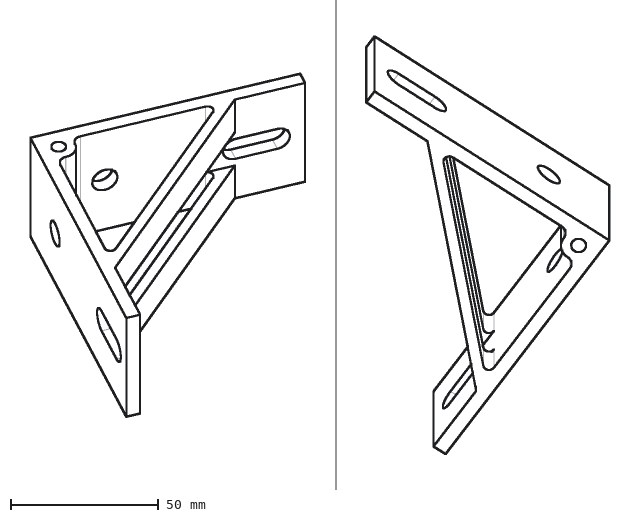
import cadquery as cq
import math

leg_length = 97.0
height = 45.0
wall = 5.0

brace_reach = 71.7
brace_thickness = 4.0
brace_height = height / 3
brace_end_radius = 2.0

boss_reach = 13.2
boss_corner_radius = 5.0
boss_root_radius = 3.0
boss_hole_diameter = 5.0
boss_hole_position = 7.5

mount_width = 9.0
mount_hole_position = 25.0
slot_start = 67.5
slot_end = 91.5


def make_legs():
    """Two plates meeting at a right angle along the Z axis."""
    leg_x = cq.Workplane("XY").box(leg_length, wall, height, centered=False)
    leg_y = cq.Workplane("XY").box(wall, leg_length, height, centered=False)
    return leg_x.union(leg_y)


def make_corner_boss():
    """Full-height boss in the inner corner, blended into both legs."""
    root = boss_reach + boss_root_radius
    flank = wall + boss_root_radius
    return (
        cq.Workplane("XY")
        .lineTo(root, 0)
        .lineTo(root, wall)
        .radiusArc((boss_reach, flank), boss_root_radius)
        .lineTo(boss_reach, boss_reach - boss_corner_radius)
        .radiusArc((boss_reach - boss_corner_radius, boss_reach), -boss_corner_radius)
        .lineTo(flank, boss_reach)
        .radiusArc((wall, root), boss_root_radius)
        .lineTo(0, root)
        .close()
        .extrude(height)
    )


def make_triangle(reach):
    """Brace-high right triangle lying against the inner faces of the legs."""
    return (
        cq.Workplane("XY")
        .moveTo(wall, wall)
        .lineTo(reach, wall)
        .lineTo(wall, reach)
        .close()
        .extrude(brace_height)
    )


def make_brace():
    """Diagonal strut with rounded inner ends, standing on the XY plane."""
    inner_reach = brace_reach - brace_thickness * math.sqrt(2)
    opening = make_triangle(inner_reach).edges("|Z and (>X or >Y)").fillet(brace_end_radius)
    return make_triangle(brace_reach).cut(opening)


def make_boss_hole_cutter():
    """Hole along the full height of the corner boss."""
    return (
        cq.Workplane("XY")
        .center(boss_hole_position, boss_hole_position)
        .circle(boss_hole_diameter / 2)
        .extrude(height)
    )


def make_mount_cutter():
    """Round hole and slot that pass through the leg lying along X, at mid-height."""
    slot_centre = (slot_start + slot_end) / 2
    middle = height / 2
    hole = (
        cq.Workplane("XZ")
        .center(mount_hole_position, middle)
        .circle(mount_width / 2)
        .extrude(-wall)
    )
    slot = (
        cq.Workplane("XZ")
        .center(slot_centre, middle)
        .slot2D(slot_end - slot_start, mount_width)
        .extrude(-wall)
    )
    return hole.union(slot)


def swap_legs(shape):
    """Mirror a shape about the plane x = y."""
    return shape.rotate((0, 0, 0), (0, 0, 1), 90).mirror("YZ")


brace = make_brace()
mount_cutter = make_mount_cutter()

bracket = make_legs().union(make_corner_boss())
for brace_bottom in (0, height - brace_height):
    bracket = bracket.union(brace.translate((0, 0, brace_bottom)))

result = bracket.cut(make_boss_hole_cutter()).cut(mount_cutter).cut(swap_legs(mount_cutter))